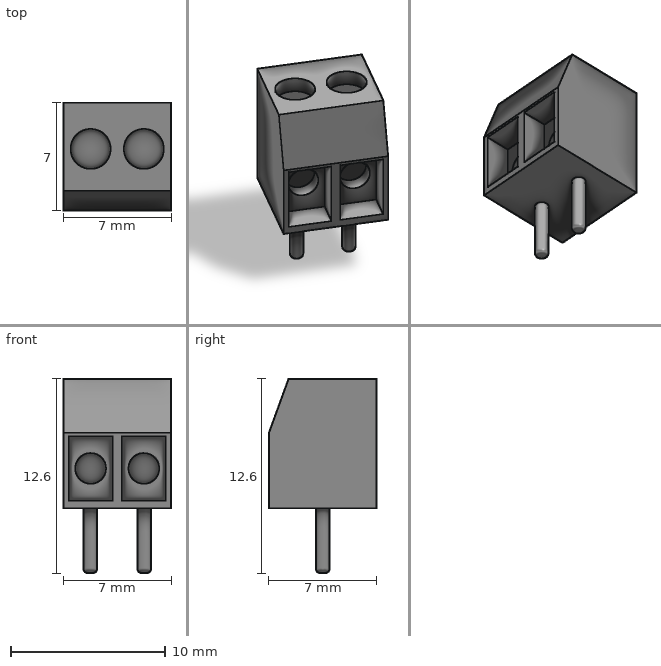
import cadquery as cq
import math

BODY_WIDTH = 7.0
BODY_DEPTH = 7.0
BODY_HEIGHT = 8.4
SLOPE_HEIGHT = 3.5
SLOPE_ANGLE = 20.0

POLE_COUNT = 2
SIDE_WALL = 0.35
MIDDLE_WALL = 0.6
POCKET_WIDTH = (BODY_WIDTH - 2 * SIDE_WALL - (POLE_COUNT - 1) * MIDDLE_WALL) / POLE_COUNT
ENTRY_PITCH = POCKET_WIDTH + MIDDLE_WALL
POCKET_HEIGHT = 4.2
POCKET_FLOOR = 0.5
POCKET_DEPTH = 1.8
WIRE_HOLE_DIAMETER = 2.0
WIRE_HOLE_DEPTH = 1.0

SCREW_DIAMETER = 2.6
SCREW_DEPTH = 1.0
SCREW_FROM_BACK = 3.0

PIN_PITCH = 3.5
PIN_DIAMETER = 0.9
PIN_LENGTH = 4.2
PIN_TIP_RADIUS = 0.3

FRONT_Y = -BODY_DEPTH / 2
BACK_Y = BODY_DEPTH / 2


def pole_positions(pitch):
    """X positions of the poles, centred on X = 0."""
    return [(i - (POLE_COUNT - 1) / 2) * pitch for i in range(POLE_COUNT)]


def housing():
    """Block with a sloped upper front, extruded along X."""
    slope_run = SLOPE_HEIGHT * math.tan(math.radians(SLOPE_ANGLE))
    profile = [
        (FRONT_Y, 0),
        (BACK_Y, 0),
        (BACK_Y, BODY_HEIGHT),
        (FRONT_Y + slope_run, BODY_HEIGHT),
        (FRONT_Y, BODY_HEIGHT - SLOPE_HEIGHT),
    ]
    return cq.Workplane("YZ").polyline(profile).close().extrude(BODY_WIDTH / 2, both=True)


def wire_entry(x):
    """Pocket and round hole to cut from the front face, running toward +Y."""
    centre_z = POCKET_FLOOR + POCKET_HEIGHT / 2
    front = cq.Workplane("XZ", origin=(x, FRONT_Y, centre_z))
    pocket = front.rect(POCKET_WIDTH, POCKET_HEIGHT).extrude(-POCKET_DEPTH)
    hole = front.circle(WIRE_HOLE_DIAMETER / 2).extrude(-(POCKET_DEPTH + WIRE_HOLE_DEPTH))
    return pocket.union(hole)


def screw_recess(x):
    """Blind round recess to cut from the top face."""
    top = cq.Workplane("XY", origin=(x, BACK_Y - SCREW_FROM_BACK, BODY_HEIGHT))
    return top.circle(SCREW_DIAMETER / 2).extrude(-SCREW_DEPTH)


def pin(x):
    """Round pin hanging from the underside, with a rounded tip."""
    shaft = cq.Workplane("XY", origin=(x, 0, 0)).circle(PIN_DIAMETER / 2).extrude(-PIN_LENGTH)
    return shaft.faces("<Z").edges().fillet(PIN_TIP_RADIUS)


result = housing()
for entry_x in pole_positions(ENTRY_PITCH):
    result = result.cut(wire_entry(entry_x)).cut(screw_recess(entry_x))
for pin_x in pole_positions(PIN_PITCH):
    result = result.union(pin(pin_x))